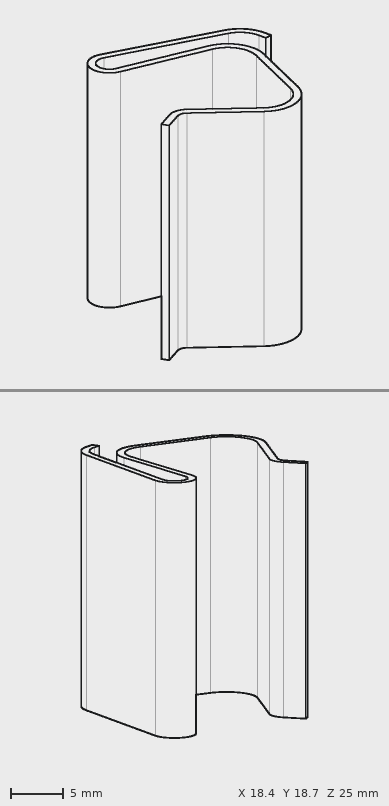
import cadquery as cq
import math

height = 25.0
thickness = 0.8

lip_radius = 2.8
loop_radius = 1.3
hook_radius = 3.0
foot_radius = 1.0

lip_length = 0.9
outer_leg_length = 13.0
inner_leg_length = 10.1
bridge_length = 7.82
grip_length = 7.35
foot_length = 2.22

lip_direction = 204.0
outer_leg_direction = 267.4
inner_leg_direction = 452.4
bridge_direction = 358.1
grip_direction = 246.0
foot_direction = 312.0

flats = [
    (lip_length, lip_direction, lip_radius),
    (outer_leg_length, outer_leg_direction, loop_radius),
    (inner_leg_length, inner_leg_direction, hook_radius),
    (bridge_length, bridge_direction, hook_radius),
    (grip_length, grip_direction, foot_radius),
    (foot_length, foot_direction, None),
]


def polar(point, distance, direction):
    """Point at a distance from another, in a direction given in degrees."""
    angle = math.radians(direction)
    return (point[0] + distance * math.cos(angle), point[1] + distance * math.sin(angle))


def strip_solid(start, length, direction):
    """Flat stretch of the strip, centred on its walking line."""
    middle = polar(start, length / 2, direction)
    return (
        cq.Workplane("XY")
        .center(*middle)
        .transformed(rotate=(0, 0, direction))
        .rect(length, thickness)
        .extrude(height)
    )


def bend_solid(center, inner_radius, start_angle, sweep):
    """Curved stretch of the strip around a bend centre."""
    outer_radius = inner_radius + thickness
    mid_angle = start_angle + sweep / 2
    end_angle = start_angle + sweep
    return (
        cq.Workplane("XY")
        .moveTo(*polar(center, inner_radius, start_angle))
        .lineTo(*polar(center, outer_radius, start_angle))
        .threePointArc(polar(center, outer_radius, mid_angle), polar(center, outer_radius, end_angle))
        .lineTo(*polar(center, inner_radius, end_angle))
        .threePointArc(polar(center, inner_radius, mid_angle), polar(center, inner_radius, start_angle))
        .close()
        .extrude(height)
    )


def folded_strip():
    """Walk along the middle of the strip, adding each flat and the tangent bend after it."""
    position = (0.0, 0.0)
    clip = cq.Workplane("XY")
    for index, (length, direction, inner_radius) in enumerate(flats):
        clip = clip.add(strip_solid(position, length, direction))
        position = polar(position, length, direction)
        if inner_radius is None:
            continue
        next_direction = flats[index + 1][1]
        sweep = next_direction - direction
        side = math.copysign(1, sweep)
        middle_radius = inner_radius + thickness / 2
        center = polar(position, middle_radius, direction + side * 90)
        start_angle = direction - side * 90
        clip = clip.add(bend_solid(center, inner_radius, start_angle, sweep))
        position = polar(center, middle_radius, start_angle + sweep)
    return clip.combine()


result = folded_strip()